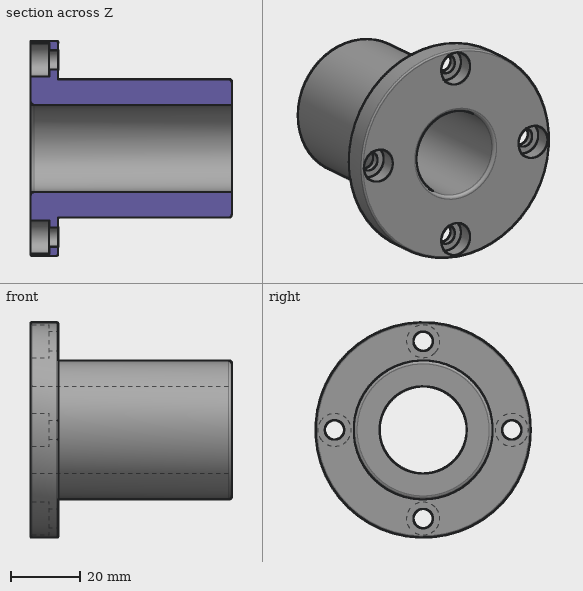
import cadquery as cq

total_length = 58.0
flange_diameter = 62.0
flange_thickness = 8.0
body_diameter = 40.0
bore_diameter = 25.0

flange_round = 0.5
body_end_round = 1.0
bore_mouth_round = 1.0

hole_count = 4
hole_circle_diameter = 51.0
hole_diameter = 5.5
counterbore_diameter = 9.5
counterbore_depth = 5.4


def cylinder_along_x(diameter, length):
    """Solid cylinder on the X axis, starting at X = 0."""
    return cq.Workplane("YZ").circle(diameter / 2).extrude(length)


def make_flange():
    """Disc with both rim edges rounded."""
    return cylinder_along_x(flange_diameter, flange_thickness).edges().fillet(flange_round)


def make_body():
    """Sleeve cylinder with its free end rounded."""
    return cylinder_along_x(body_diameter, total_length).edges(">X").fillet(body_end_round)


def cut_bore(part):
    """Through bore with a rounded mouth at the flange face."""
    bored = part.cut(cylinder_along_x(bore_diameter, total_length))
    mouth_edge = cq.selectors.RadiusNthSelector(0)
    return bored.faces("<X").edges(mouth_edge).fillet(bore_mouth_round)


def cut_mounting_holes(part):
    """Counterbored holes through the flange, one on each side of Y and Z."""
    angle_step = 360 / hole_count
    through_hole = cylinder_along_x(hole_diameter, flange_thickness)
    counterbore = cylinder_along_x(counterbore_diameter, counterbore_depth)
    cutter = through_hole.union(counterbore).translate((0, hole_circle_diameter / 2, 0))
    for index in range(hole_count):
        part = part.cut(cutter.rotate((0, 0, 0), (1, 0, 0), index * angle_step))
    return part


result = cut_mounting_holes(cut_bore(make_flange().union(make_body())))